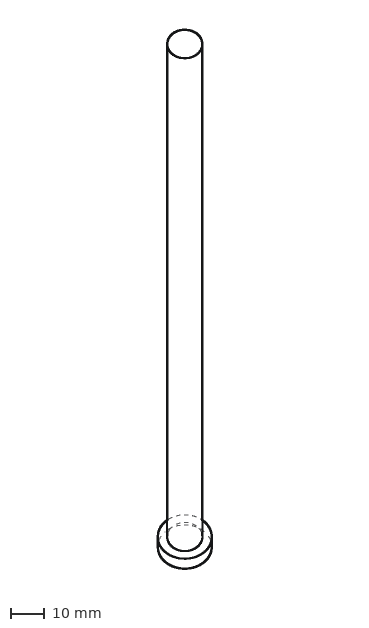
import cadquery as cq

total_length = 255.0
head_diameter = 16.0
head_height = 5.0
shank_diameter = 10.5

head = cq.Workplane("XY").circle(head_diameter / 2).extrude(head_height)

result = head.faces(">Z").workplane().circle(shank_diameter / 2).extrude(total_length - head_height)